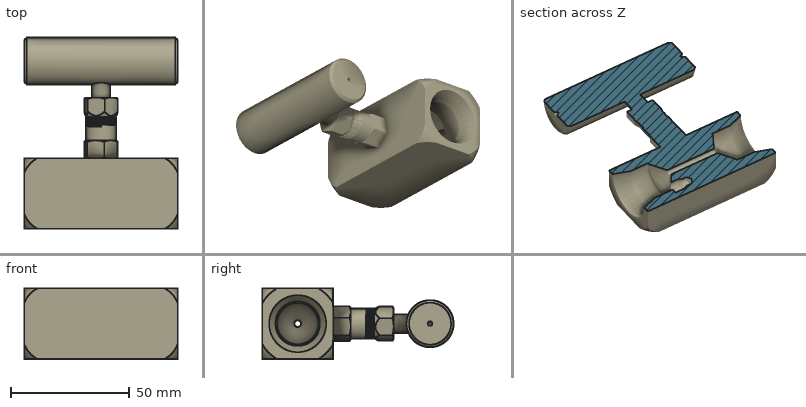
import cadquery as cq
import math


overall_reach = 81.0

body_length = 65.0
body_side = 30.0
body_end_diameter = 34.7
corner_round_length = 6.5
corner_round_radius = 13.0
corner_clearance = 0.25

port_mouth_diameter = 24.1
port_bore_diameter = 18.9
port_seat_diameter = 17.5
port_taper_depth = 7.3
port_bore_depth = 16.2
drill_point_angle = 118.0
flow_hole_diameter = 2.75

passage_diameter = 6.0
passage_core_diameter = 4.2
passage_offset = 8.7
passage_depth = 4.9
passage_core_depth = 2.4
passage_cone_angle = 60.0

hex_across_flats = 13.0
hex_end_slope = 30.0
lock_hex_taper = 60.0
base_hex_height = 7.45
base_hex_turn = 20.0
base_hex_bottom_diameter = 14.1
lock_hex_bottom = 47.5
lock_hex_top = 55.6
lock_hex_turn = 18.5
lock_hex_bottom_diameter = 12.5
sleeve_diameter = 13.0

thread_pitch = 0.8
thread_depth = 0.3
thread_groove_width = 0.61
thread_start = 43.5
thread_cutter_overlap = 0.1
thread_overrun = 0.4

stem_diameter = 8.0
handle_diameter = 20.0
handle_length = body_length
handle_chamfer = 1.1
handle_center = overall_reach - handle_diameter / 2
center_hole_diameter = 1.95
center_hole_angle = 60.0

body_middle = body_side / 2
hex_corner_diameter = hex_across_flats / math.cos(math.radians(30))


def revolve_about_x(points, axis_y):
    """Turn an (x, radius) outline about a line along X at the given Y."""
    outline = cq.Workplane("XY", origin=(0, axis_y, 0)).polyline(points).close()
    return outline.revolve(360, (0, 0, 0), (1, 0, 0))


def cylinder_y(diameter, start, end):
    """Cylinder on the valve axis between two Y positions."""
    disc = cq.Workplane("XZ", origin=(0, start, 0)).circle(diameter / 2)
    return disc.extrude(start - end)


def make_body():
    """Square block whose eight corners are turned round about the flow axis."""
    half = body_length / 2
    end_radius = body_end_diameter / 2
    outer_radius = body_side / math.sqrt(2) + corner_clearance
    block = cq.Workplane("XY").box(body_length, body_side, body_side).translate((0, body_middle, 0))
    envelope = (
        cq.Workplane("XY", origin=(0, body_middle, 0))
        .moveTo(-half, 0)
        .lineTo(-half, end_radius)
        .radiusArc((corner_round_length - half, outer_radius), corner_round_radius)
        .lineTo(half - corner_round_length, outer_radius)
        .radiusArc((half, end_radius), corner_round_radius)
        .lineTo(half, 0)
        .close()
        .revolve(360, (0, 0, 0), (1, 0, 0))
    )
    return block.intersect(envelope)


def make_port():
    """Cutter for the -X port: taper, bore, seat step and cone down to the flow hole."""
    face = -body_length / 2
    seat_radius = port_seat_diameter / 2
    hole_radius = flow_hole_diameter / 2
    bottom = face + port_bore_depth
    point = (seat_radius - hole_radius) / math.tan(math.radians(drill_point_angle / 2))
    return revolve_about_x(
        [(face, 0), (face, port_mouth_diameter / 2),
         (face + port_taper_depth, port_bore_diameter / 2), (bottom, port_bore_diameter / 2),
         (bottom, seat_radius), (bottom + point, hole_radius), (0, hole_radius), (0, 0)],
        body_middle,
    )


def make_passage():
    """Cutter for the side passage: a hole, a cone and a narrower hole with a drill point."""
    start = port_bore_depth - body_length / 2
    radius = passage_diameter / 2
    core = passage_core_diameter / 2
    shoulder = start + passage_depth
    cone_end = shoulder + (radius - core) / math.tan(math.radians(passage_cone_angle / 2))
    end = cone_end + passage_core_depth
    point = core / math.tan(math.radians(drill_point_angle / 2))
    return revolve_about_x(
        [(start, 0), (start, radius), (shoulder, radius), (cone_end, core), (end, core), (end + point, 0)],
        body_middle - passage_offset,
    )


def revolve_about_y(points):
    """Turn a (radius, y) outline about the valve axis."""
    return cq.Workplane("XY").polyline(points).close().revolve(360, (0, 0, 0), (0, 1, 0))


def make_hex(bottom, top, turn, bottom_diameter, bottom_slope):
    """Hexagon on the valve axis with its corners coned down to a circle at each end."""
    corner = hex_corner_diameter / 2
    low = bottom_diameter / 2
    high = hex_across_flats / 2
    low_rise = (corner - low) * math.tan(math.radians(bottom_slope))
    high_drop = (corner - high) * math.tan(math.radians(hex_end_slope))
    prism = (
        cq.Workplane("XZ", origin=(0, bottom, 0))
        .polygon(6, hex_corner_diameter)
        .extrude(bottom - top)
        .rotate((0, 0, 0), (0, 1, 0), -turn)
    )
    envelope = revolve_about_y([
        (0, bottom), (low, bottom), (corner, bottom + low_rise),
        (corner, top - high_drop), (high, top), (0, top),
    ])
    return prism.intersect(envelope)


def make_sleeve():
    """Plain sleeve with a left-hand V-groove thread at its upper end."""
    sleeve_radius = sleeve_diameter / 2
    half_width = thread_groove_width / 2
    rise = half_width * (1 + thread_cutter_overlap / thread_depth)
    path = cq.Wire.makeHelix(
        thread_pitch, lock_hex_bottom + thread_overrun - thread_start, sleeve_radius,
        cq.Vector(0, thread_start, 0), cq.Vector(0, 1, 0), lefthand=True,
    )
    groove = (
        cq.Workplane("YZ")
        .polyline([
            (thread_start, sleeve_radius - thread_depth),
            (thread_start + rise, sleeve_radius + thread_cutter_overlap),
            (thread_start - rise, sleeve_radius + thread_cutter_overlap),
        ])
        .close()
        .sweep(cq.Workplane(path), isFrenet=True)
    )
    return cylinder_y(sleeve_diameter, body_side, lock_hex_bottom).cut(groove)


def make_handle():
    """Chamfered round bar along X with a center hole in each end."""
    half = handle_length / 2
    radius = handle_diameter / 2
    hole_radius = center_hole_diameter / 2
    hole_depth = hole_radius / math.tan(math.radians(center_hole_angle / 2))
    return revolve_about_x(
        [(hole_depth - half, 0), (-half, hole_radius), (-half, radius - handle_chamfer),
         (handle_chamfer - half, radius), (half - handle_chamfer, radius),
         (half, radius - handle_chamfer), (half, hole_radius), (half - hole_depth, 0)],
        handle_center,
    )


port = make_port()
body = make_body().cut(port).cut(port.mirror("YZ")).cut(make_passage())
base_hex = make_hex(
    body_side, body_side + base_hex_height, base_hex_turn, base_hex_bottom_diameter, hex_end_slope
)
lock_hex = make_hex(
    lock_hex_bottom, lock_hex_top, lock_hex_turn, lock_hex_bottom_diameter, lock_hex_taper
)
stem = cylinder_y(stem_diameter, lock_hex_top, handle_center)

result = body.union(base_hex).union(make_sleeve()).union(lock_hex).union(stem).union(make_handle())